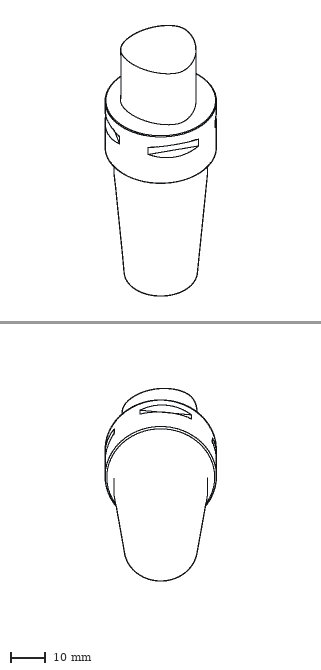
import cadquery as cq
import math

total_length = 84.0

shank_mean_radius = 10.8
lobe_height = 0.71
profile_points = 36

flange_diameter = 32.0
flange_bottom = 46.9
flange_top = 64.9
top_chamfer = 0.25
bottom_chamfer = 0.5

neck_diameter = 27.0
neck_bottom = 38.1
neck_fillet = 1.4
nose_diameter = 21.0
nose_fillet = 1.0

notch_count = 4
notch_first_angle = 45.0
notch_center = 59.05
notch_floor_height = 2.5
notch_depth = 1.85
notch_flank_angle = 30.0

flange_radius = flange_diameter / 2
neck_radius = neck_diameter / 2
nose_radius = nose_diameter / 2


def make_turned_body():
    """Flange, neck and tapered nose as one solid of revolution."""
    fillet_mid = neck_fillet * (1 - math.sqrt(0.5))
    return (
        cq.Workplane("XZ")
        .lineTo(nose_radius, 0)
        .lineTo(neck_radius, neck_bottom)
        .lineTo(neck_radius, flange_bottom - neck_fillet)
        .threePointArc(
            (neck_radius + fillet_mid, flange_bottom - fillet_mid),
            (neck_radius + neck_fillet, flange_bottom),
        )
        .lineTo(flange_radius - bottom_chamfer, flange_bottom)
        .lineTo(flange_radius, flange_bottom + bottom_chamfer)
        .lineTo(flange_radius, flange_top - top_chamfer)
        .lineTo(flange_radius - top_chamfer, flange_top)
        .lineTo(0, flange_top)
        .close()
        .revolve(360, (0, 0), (0, 1))
        .faces("<Z")
        .edges()
        .fillet(nose_fillet)
    )


def make_notch_cutter(angle):
    """Straight bar of trapezoidal section, flat floor inward and flanks widening outward."""
    floor = flange_radius - notch_depth
    reach = 2 * notch_depth
    floor_half = notch_floor_height / 2
    mouth_half = floor_half + reach * math.tan(math.radians(notch_flank_angle))
    return (
        cq.Workplane("XZ")
        .polyline([
            (floor, notch_center - floor_half),
            (floor + reach, notch_center - mouth_half),
            (floor + reach, notch_center + mouth_half),
            (floor, notch_center + floor_half),
        ])
        .close()
        .extrude(flange_radius, both=True)
        .rotate((0, 0, 0), (0, 0, 1), angle)
    )


def make_holder():
    """Turned body with gripper notches cut evenly around its flange."""
    body = make_turned_body()
    for index in range(notch_count):
        body = body.cut(make_notch_cutter(notch_first_angle + index * 360 / notch_count))
    return body


def shank_point(fraction):
    """Point of the shank profile, starting opposite the lobe that points along +Y."""
    turn = 2 * math.pi * fraction + math.pi
    along = (shank_mean_radius * math.cos(turn)
             + 2 * lobe_height * math.cos(2 * turn)
             - lobe_height * math.cos(4 * turn))
    across = (shank_mean_radius * math.sin(turn)
              - 2 * lobe_height * math.sin(2 * turn)
              - lobe_height * math.sin(4 * turn))
    return (-across, along)


def make_shank():
    """Straight three-lobed shank standing on the flange."""
    profile = [shank_point(index / profile_points) for index in range(profile_points)]
    return (
        cq.Workplane("XY", origin=(0, 0, flange_top))
        .spline(profile, periodic=True)
        .close()
        .extrude(total_length - flange_top)
    )


holder = make_holder()
shank = make_shank()
result = cq.Compound.makeCompound([holder.solids().val(), shank.val()])